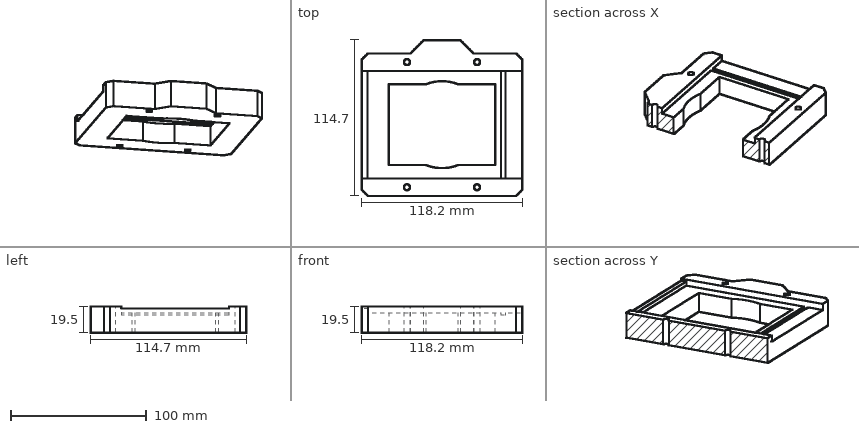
import cadquery as cq

length = 118.2
width = 105.0
height = 19.5
corner_chamfer = 4.6

overall_width = 114.7
tab_depth = overall_width - width
tab_tip_width = 27.0
tab_root_width = tab_tip_width + 2 * tab_depth

channel_width = 79.2
lip_width = 4.3
lip_depth = 1.5
floor_depth = 4.7

groove_start = 43.5
groove_width = 3.2
groove_depth = 1.5

window_length = 78.0
window_width = 59.2
relief_diameter = 63.8

hole_diameter = 4.3
hole_spacing_x = 51.5
hole_spacing_y = (width + channel_width) / 2


def pocket(x_start, x_end, depth):
    """Channel-wide cutter reaching the given depth below the top face."""
    return (
        cq.Workplane("XY")
        .box(x_end - x_start, channel_width, depth, centered=(False, True, False))
        .translate((x_start, 0, height - depth))
    )


def make_body():
    frame = (
        cq.Workplane("XY")
        .box(length, width, height, centered=(True, True, False))
        .edges("|Z")
        .chamfer(corner_chamfer)
    )
    tab = (
        cq.Workplane("XY")
        .polyline([
            (-tab_root_width / 2, width / 2),
            (tab_root_width / 2, width / 2),
            (tab_tip_width / 2, width / 2 + tab_depth),
            (-tab_tip_width / 2, width / 2 + tab_depth),
        ])
        .close()
        .extrude(height)
    )
    return frame.union(tab)


def make_window():
    opening = cq.Workplane("XY").rect(window_length, window_width).extrude(height)
    relief = cq.Workplane("XY").circle(relief_diameter / 2).extrude(height)
    return opening.union(relief)


def make_holes():
    return (
        cq.Workplane("XY")
        .rect(hole_spacing_x, hole_spacing_y, forConstruction=True)
        .vertices()
        .circle(hole_diameter / 2)
        .extrude(height)
    )


left_side = -length / 2
right_side = length / 2
lip_end = left_side + lip_width

body = make_body()
body = body.cut(pocket(left_side, lip_end, lip_depth))
body = body.cut(pocket(lip_end, right_side, floor_depth))
body = body.cut(pocket(groove_start, groove_start + groove_width, floor_depth + groove_depth))
result = body.cut(make_window()).cut(make_holes())